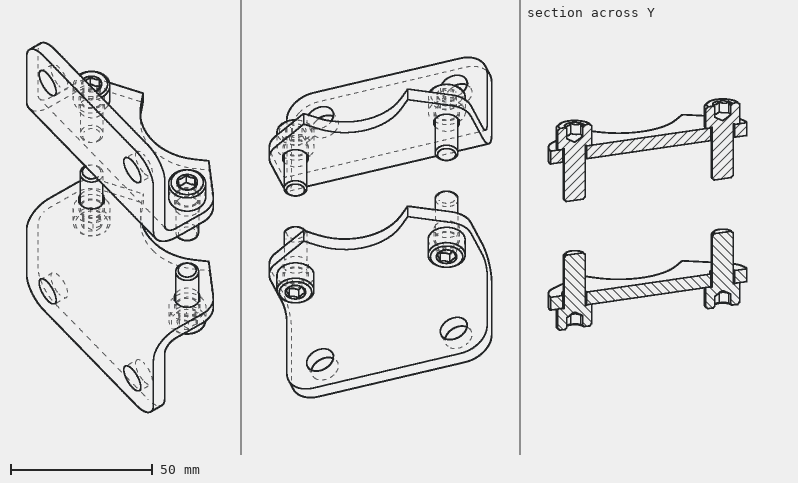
import cadquery as cq
import math


width = 75.0
depth = 37.8
height = 139.0
bracket_gap = 50.0

thickness = 5.0
bend_outer_radius = 10.0
bend_inner_radius = bend_outer_radius - thickness
seat_z = bracket_gap / 2
seat_top_z = seat_z + thickness
top_z = height / 2

flange_corner_radius = 10.0
mount_hole_diameter = 10.0
mount_hole_spacing = 50.0
mount_hole_edge = 12.5
mount_hole_z = top_z - mount_hole_edge

tip_x = 19.5
notch_radius = 22.0
notch_angle = math.radians(45)
shoulder_y = 27.0
shoulder_radius = 9.0
corner_margin = 1.4

screw_spacing = 56.6
screw_y = 21.7
clearance_diameter = 9.0
shank_diameter = 8.0
shank_length = 20.0
head_diameter = 13.0
head_height = 8.0
screw_chamfer = 0.8

socket_across_flats = 6.0
socket_across_corners = socket_across_flats / math.cos(math.radians(30))
socket_mouth_diameter = 7.2
socket_depth = 4.0
socket_point_angle = math.radians(120)


def mirrored_pair(spacing, offset):
    """Two points spaced evenly either side of the middle, at the same offset."""
    return [(-spacing / 2, offset), (spacing / 2, offset)]


def bent_strip():
    """L-shaped strip with a rounded bend, extruded over the full width."""
    profile = (
        cq.Workplane("YZ")
        .moveTo(0, top_z)
        .lineTo(0, seat_z + bend_outer_radius)
        .radiusArc((bend_outer_radius, seat_z), -bend_outer_radius)
        .lineTo(depth, seat_z)
        .lineTo(depth, seat_top_z)
        .lineTo(bend_outer_radius, seat_top_z)
        .radiusArc((thickness, seat_z + bend_outer_radius), bend_inner_radius)
        .lineTo(thickness, top_z)
        .close()
    )
    return profile.extrude(width / 2, both=True)


def seat_outline():
    """Plan of the bracket: sloping shoulders and a notch tangent to its 45 degree sides."""
    center_y = depth - tip_x * math.tan(notch_angle) + notch_radius / math.cos(notch_angle)
    tangent_x = notch_radius * math.sin(notch_angle)
    tangent_y = center_y - notch_radius * math.cos(notch_angle)
    half_width = width / 2
    plan = (
        cq.Workplane("XY")
        .workplane(offset=seat_z)
        .moveTo(-half_width, 0)
        .lineTo(half_width, 0)
        .lineTo(half_width, shoulder_y)
        .lineTo(tip_x, depth)
        .lineTo(tangent_x, tangent_y)
        .threePointArc((0, center_y - notch_radius), (-tangent_x, tangent_y))
        .lineTo(-tip_x, depth)
        .lineTo(-half_width, shoulder_y)
        .close()
        .extrude(top_z - seat_z)
    )
    shoulders = cq.selectors.BoxSelector(
        (-half_width - corner_margin, shoulder_y - corner_margin, seat_z),
        (half_width + corner_margin, shoulder_y + corner_margin, top_z),
    )
    return plan.edges("|Z").edges(shoulders).fillet(shoulder_radius)


def make_upper_bracket():
    """Bracket with its flange pointing up and its seat on the lower side."""
    bracket = bent_strip().intersect(seat_outline())
    bracket = bracket.faces(">Z").edges("|Y").fillet(flange_corner_radius)
    mount_holes = (
        cq.Workplane("XZ")
        .pushPoints(mirrored_pair(mount_hole_spacing, mount_hole_z))
        .circle(mount_hole_diameter / 2)
        .extrude(-thickness)
    )
    screw_holes = (
        cq.Workplane("XY")
        .workplane(offset=seat_z)
        .pushPoints(mirrored_pair(screw_spacing, screw_y))
        .circle(clearance_diameter / 2)
        .extrude(thickness)
    )
    return bracket.cut(mount_holes).cut(screw_holes)


def hex_socket():
    """Hexagonal recess with a conical bottom and a chamfered mouth, open at the head top."""
    corner_radius = socket_across_corners / 2
    mouth_radius = socket_mouth_diameter / 2
    bottom_z = head_height - socket_depth
    point_z = bottom_z - corner_radius / math.tan(socket_point_angle / 2)
    hexagon = (
        cq.Workplane("XY")
        .workplane(offset=point_z)
        .polygon(6, socket_across_corners)
        .extrude(head_height - point_z)
        .rotate((0, 0, 0), (0, 0, 1), 90)
    )
    pointed_envelope = (
        cq.Workplane("XZ")
        .moveTo(0, point_z)
        .lineTo(mouth_radius, point_z + mouth_radius / math.tan(socket_point_angle / 2))
        .lineTo(mouth_radius, head_height)
        .lineTo(0, head_height)
        .close()
        .revolve(360, (0, 0), (0, 1))
    )
    mouth = (
        cq.Workplane("XZ")
        .moveTo(0, head_height)
        .lineTo(mouth_radius, head_height)
        .lineTo(0, head_height - mouth_radius)
        .close()
        .revolve(360, (0, 0), (0, 1))
    )
    return hexagon.intersect(pointed_envelope).union(mouth)


def make_screw():
    """Socket head screw on the Z axis, with the underside of its head at Z = 0."""
    head = (
        cq.Workplane("XY")
        .circle(head_diameter / 2)
        .extrude(head_height)
        .faces(">Z")
        .chamfer(screw_chamfer)
    )
    shank = (
        cq.Workplane("XY")
        .circle(shank_diameter / 2)
        .extrude(-shank_length)
        .faces("<Z")
        .chamfer(screw_chamfer)
    )
    return head.union(shank).cut(hex_socket())


upper_bracket = make_upper_bracket()
brackets = [upper_bracket, upper_bracket.mirror("XY")]

screws = []
for x, y in mirrored_pair(screw_spacing, screw_y):
    upper_screw = make_screw().translate((x, y, seat_top_z))
    screws.append(upper_screw)
    screws.append(upper_screw.mirror("XY"))

result = cq.Compound.makeCompound([body.solids().val() for body in brackets + screws])